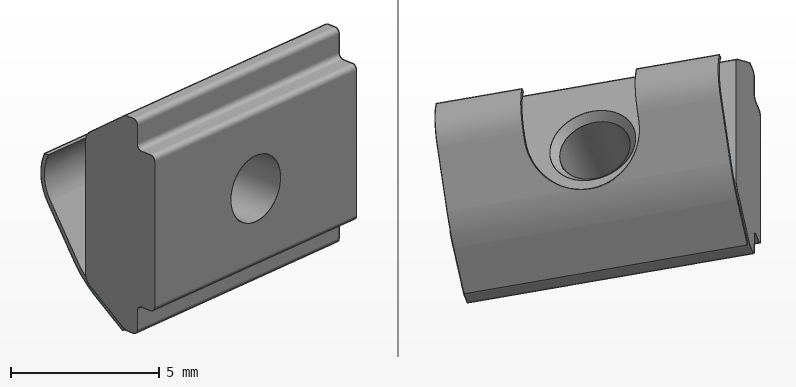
import cadquery as cq
import math

length = 10.0
height = 8.0
flange_thickness = 2.4
depth = 3.2
neck_height = 5.8
taper_angle = math.radians(35.0)
taper_depth = 1.83
edge_radius = 0.2
face_radius = 0.5

hole_diameter = 2.46
countersink_diameter = 3.0

sheet = 0.16
spring_length = 9.9
spring_reach = 2.1
spring_top = 1.37
leaf_angle = math.radians(56.0)
curl_radius = 1.8
bend_radius = 3.5
curl_center_z = 0.61
slot_width = 4.0
slot_y = -0.05
slot_overrun = 0.06

half_height = height / 2
half_neck = neck_height / 2
corner_z = half_height - taper_depth * math.tan(taper_angle)


def outward(angle):
    """Unit normal, away from the body, of a sheet sloping down at this angle."""
    return -math.sin(angle), -math.cos(angle)


def along(point, direction, distance):
    return point[0] + distance * direction[0], point[1] + distance * direction[1]


def round_edges(solid, points, radius):
    """Fillet the edges parallel to Y that pass through the given XZ points."""
    reach = 0.01
    for x, z in points:
        solid = solid.edges(
            cq.selectors.BoxSelector(
                (x - reach, -length, z - reach), (x + reach, length, z + reach)
            )
        ).fillet(radius)
    return solid


def make_body():
    upper = [
        (0, corner_z),
        (taper_depth, half_height),
        (flange_thickness, half_height),
        (flange_thickness, half_neck),
        (depth, half_neck),
    ]
    lower = [(x, -z) for x, z in reversed(upper)]
    body = cq.Workplane("XZ").polyline(upper + lower).close().extrude(length / 2, both=True)
    body = round_edges(body, [upper[0], lower[-1]], face_radius)
    return round_edges(body, upper[1:] + lower[:-1], edge_radius)


def make_hole():
    hole = cq.Workplane("YZ").circle(hole_diameter / 2).extrude(depth)
    countersink_depth = (countersink_diameter - hole_diameter) / 2
    cone = cq.Solid.makeCone(
        countersink_diameter / 2,
        hole_diameter / 2,
        countersink_depth,
        pnt=cq.Vector(0, 0, 0),
        dir=cq.Vector(1, 0, 0),
    )
    return hole.union(cq.Workplane(obj=cone))


def make_spring():
    leaf_out = outward(leaf_angle)
    foot_out = outward(taper_angle)
    leaf_down = (math.cos(leaf_angle), -math.sin(leaf_angle))
    curl_center = (curl_radius - spring_reach, curl_center_z)

    leaf_offset = (
        curl_center[0] * leaf_out[0] + curl_center[1] * leaf_out[1] + curl_radius - bend_radius
    )
    foot_offset = -corner_z * foot_out[1] + sheet - bend_radius
    determinant = leaf_out[0] * foot_out[1] - leaf_out[1] * foot_out[0]
    bend_center = (
        (leaf_offset * foot_out[1] - foot_offset * leaf_out[1]) / determinant,
        (leaf_out[0] * foot_offset - foot_out[0] * leaf_offset) / determinant,
    )

    foot_end_x = taper_depth - edge_radius * math.tan(taper_angle / 2)
    foot_end = (foot_end_x, -corner_z - foot_end_x * math.tan(taper_angle))
    mid_bend = outward((leaf_angle + taper_angle) / 2)

    def sheet_face(inset):
        """Key points of one sheet face, a given depth inside the outer face."""
        curl = curl_radius - inset
        bend = bend_radius - inset
        tip_rise = spring_top - curl_center_z
        tip = (curl_center[0] - math.sqrt(curl**2 - tip_rise**2), spring_top)
        return (
            tip,
            (curl_center[0] - curl, curl_center_z),
            along(curl_center, leaf_out, curl),
            along(bend_center, leaf_out, bend),
            along(bend_center, mid_bend, bend),
            along(bend_center, foot_out, bend),
            along(foot_end, foot_out, sheet - inset),
        )

    outer = sheet_face(0)
    inner = sheet_face(sheet)
    spring = (
        cq.Workplane("XZ")
        .moveTo(*outer[0])
        .threePointArc(outer[1], outer[2])
        .lineTo(*outer[3])
        .threePointArc(outer[4], outer[5])
        .lineTo(*outer[6])
        .lineTo(*inner[6])
        .lineTo(*inner[5])
        .threePointArc(inner[4], inner[3])
        .lineTo(*inner[2])
        .threePointArc(inner[1], inner[0])
        .close()
        .extrude(spring_length / 2, both=True)
    )

    slot_radius = slot_width / 2
    slot_center = along(outer[3], leaf_down, slot_overrun - slot_radius)
    slot_plane = cq.Plane(
        origin=(slot_center[0], slot_y, slot_center[1]),
        xDir=(leaf_down[0], 0, leaf_down[1]),
        normal=(leaf_out[0], 0, leaf_out[1]),
    )
    slot_run = 2 * curl_radius
    slot = (
        cq.Workplane(slot_plane)
        .moveTo(-slot_run, -slot_radius)
        .lineTo(0, -slot_radius)
        .threePointArc((slot_radius, 0), (0, slot_radius))
        .lineTo(-slot_run, slot_radius)
        .close()
        .extrude(curl_radius, both=True)
    )
    return spring.cut(slot)


result = make_body().cut(make_hole()).union(make_spring())